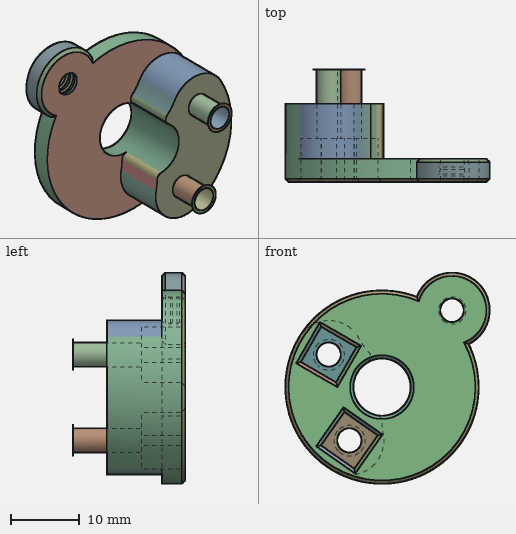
import cadquery as cq
import math


disc_radius = 14.1
plate_thickness = 3.41
edge_chamfer = 0.5
lug_radius = 5.5
lug_x = 10.2
lug_z = 11.19
screw_hole_diameter = 3.4

groove_diameter = 3.96
groove_start = 0.9
groove_pitch = 1.0
groove_rise = 0.32
groove_count = 2

bore_diameter = 8.3
bore_radius = bore_diameter / 2

block_height = 8.0
lobe_radius = 5.0
pocket_circle_radius = disc_radius - lobe_radius
pocket_angles = (148.6, 238.5)
nose_radius = 1.0
nose_angles = (121.1, 258.6)
blend_radius = 8.0

pocket_tilts = (-30.0, -35.0)
pocket_side = 5.93
pocket_floor_thickness = 5.0
tube_bore_diameter = 3.5
tube_wall = 0.03
tube_length = 5.0
rim_diameter = 4.5
rim_thickness = 0.05

block_back = plate_thickness + block_height
tube_end = block_back + tube_length
pocket_depth = block_back - pocket_floor_thickness


def on_circle(radius, angle):
    """Point (x, z) at a polar angle, in degrees from +X toward +Z."""
    return radius * math.cos(math.radians(angle)), radius * math.sin(math.radians(angle))


def plane_at(y, x=0, z=0):
    """Sketch plane at depth y facing +Y, with local coordinates (x, -z)."""
    return cq.Workplane(cq.Plane(origin=(x, y, z), xDir=(1, 0, 0), normal=(0, 1, 0)))


def cylinder(diameter, y_start, y_end, x=0, z=0):
    return plane_at(y_start, x, z).circle(diameter / 2).extrude(y_end - y_start)


def cone(start_diameter, end_diameter, y_start, y_end, x=0, z=0):
    section = plane_at(y_start, x, z).circle(start_diameter / 2)
    return section.workplane(offset=y_end - y_start).circle(end_diameter / 2).loft(ruled=True)


def make_plate():
    """Disc chamfered in front, joined to a lug chamfered on both faces."""
    disc = cylinder(2 * disc_radius, 0, plate_thickness).faces("<Y").chamfer(edge_chamfer)
    lug = cylinder(2 * lug_radius, 0, plate_thickness, lug_x, lug_z).faces("<Y or >Y").chamfer(edge_chamfer)
    return disc.union(lug)


def point_toward(start, target, distance):
    """Point at a distance from start, in the direction of target."""
    reach = math.dist(start, target)
    return tuple(s + (t - s) * distance / reach for s, t in zip(start, target))


def arc_middle(center, radius, first, last):
    """Middle point of the shorter arc between two points of a circle."""
    chord_middle = tuple((f + l) / 2 for f, l in zip(first, last))
    return point_toward(center, chord_middle, radius)


def blend_center(lobe_center, nose_center, side):
    """Center of the concave blend that touches lobe and nose from outside."""
    span = math.dist(lobe_center, nose_center)
    lobe_reach = lobe_radius + blend_radius
    nose_reach = nose_radius + blend_radius
    along = (span**2 + lobe_reach**2 - nose_reach**2) / (2 * span)
    across = side * math.sqrt(lobe_reach**2 - along**2)
    ux = (nose_center[0] - lobe_center[0]) / span
    uz = (nose_center[1] - lobe_center[1]) / span
    return lobe_center[0] + along * ux - across * uz, lobe_center[1] + along * uz + across * ux


def end_arcs(lobe_angle, nose_angle, side):
    """Arcs (first, middle, last) around one end of the block, from its outer to its inner wall."""
    lobe = on_circle(pocket_circle_radius, lobe_angle)
    nose = on_circle(bore_radius + nose_radius, nose_angle)
    blend = blend_center(lobe, nose, side)
    outer = on_circle(disc_radius, lobe_angle)
    lobe_end = point_toward(lobe, blend, lobe_radius)
    nose_start = point_toward(nose, blend, nose_radius)
    inner = on_circle(bore_radius, nose_angle)
    return [
        (outer, arc_middle(lobe, lobe_radius, outer, lobe_end), lobe_end),
        (lobe_end, arc_middle(blend, blend_radius, lobe_end, nose_start), nose_start),
        (nose_start, arc_middle(nose, nose_radius, nose_start, inner), inner),
    ]


def make_block():
    """Block between the disc edge and the bore, with a lobe, blend and nose at each end."""
    middle_angle = sum(pocket_angles) / 2
    upper = end_arcs(pocket_angles[0], nose_angles[0], 1)
    lower = end_arcs(pocket_angles[1], nose_angles[1], -1)
    outer_wall = (lower[0][0], on_circle(disc_radius, middle_angle), upper[0][0])
    inner_wall = (upper[-1][2], on_circle(bore_radius, middle_angle), lower[-1][2])
    lower_reversed = [arc[::-1] for arc in reversed(lower)]

    outline = plane_at(plate_thickness).moveTo(outer_wall[0][0], -outer_wall[0][1])
    for _, middle, last in [outer_wall, *upper, inner_wall, *lower_reversed]:
        outline = outline.threePointArc((middle[0], -middle[1]), (last[0], -last[1]))
    return outline.close().extrude(block_height)


def cut_main_bore(body):
    """Bore with a chamfered mouth, revolved about the Y axis from a half section at +Z."""
    mouth_radius = bore_radius + edge_chamfer
    half_section = (
        cq.Workplane("YZ")
        .lineTo(0, mouth_radius)
        .lineTo(edge_chamfer, bore_radius)
        .lineTo(block_back, bore_radius)
        .lineTo(block_back, 0)
        .close()
    )
    return body.cut(half_section.revolve(360, (0, 0, 0), (1, 0, 0)))


def cut_screw_hole(body):
    """Through hole in the lug, with V-shaped ring grooves in its wall."""
    body = body.cut(cylinder(screw_hole_diameter, 0, plate_thickness, lug_x, lug_z))
    for index in range(groove_count):
        start = groove_start + index * groove_pitch
        root = start + groove_rise
        end = start + groove_pitch
        body = body.cut(cone(screw_hole_diameter, groove_diameter, start, root, lug_x, lug_z))
        body = body.cut(cone(groove_diameter, screw_hole_diameter, root, end, lug_x, lug_z))
    return body


def add_pocket_and_tube(body, angle, tilt):
    """Square pocket with a chamfered mouth, and a hole that runs on through the rimmed tube."""
    x, z = on_circle(pocket_circle_radius, angle)
    mouth_side = pocket_side + 2 * edge_chamfer
    tube = cylinder(tube_bore_diameter + 2 * tube_wall, block_back, tube_end, x, z)
    rim = cylinder(rim_diameter, tube_end - rim_thickness, tube_end, x, z)
    pocket = plane_at(0).rect(pocket_side, pocket_side).extrude(pocket_depth)
    mouth = (
        plane_at(0)
        .rect(mouth_side, mouth_side)
        .workplane(offset=edge_chamfer)
        .rect(pocket_side, pocket_side)
        .loft(ruled=True)
    )
    recess = pocket.union(mouth).rotate((0, 0, 0), (0, 1, 0), -tilt).translate((x, 0, z))
    hole = cylinder(tube_bore_diameter, 0, tube_end, x, z)
    return body.union(tube).union(rim).cut(recess).cut(hole)


result = make_plate().union(make_block()).clean()
result = cut_main_bore(result)
result = cut_screw_hole(result)
for pocket_angle, pocket_tilt in zip(pocket_angles, pocket_tilts):
    result = add_pocket_and_tube(result, pocket_angle, pocket_tilt)